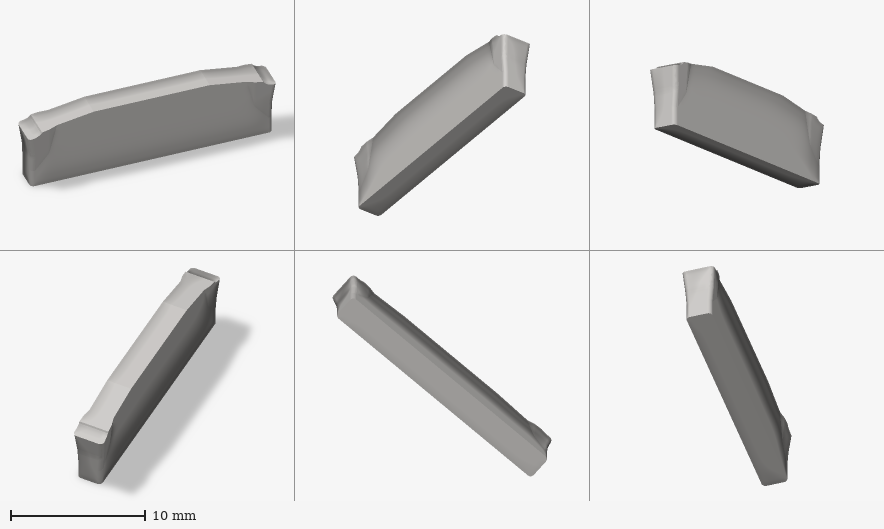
import cadquery as cq
import math

height = 5.68
half_length = 9.89
body_width = 2.0
corner_radius = 0.32

flat_half_length = 4.63
ridge_y, ridge_z = 8.82, 5.0
groove_top_y, groove_top_z = 8.9, 4.89
groove_middle_y, groove_middle_z = 9.12, 4.73
groove_bottom_y, groove_bottom_z = 9.42, 4.63
tip_z = 4.53

flank_bottom_z = 2.99
heel_top_z = 2.51
flank_angle = math.radians(7.5)
blend_height = flank_bottom_z - heel_top_z
flank_bottom_y = half_length - (tip_z - flank_bottom_z) * math.tan(flank_angle)
blend_radius = blend_height / math.sin(flank_angle)
heel_y = flank_bottom_y - blend_radius * (1 - math.cos(flank_angle))
half_blend_angle = flank_angle / 2
blend_middle_y = heel_y + blend_radius * (1 - math.cos(half_blend_angle))
blend_middle_z = heel_top_z + blend_radius * math.sin(half_blend_angle)

cheek_rise = 0.071
cheek_edge_y = 8.19
cheek_edge_z = 2.75
cheek_low_z = 1.38
cheek_low_y = heel_y - corner_radius
cheek_spread = cheek_rise * (cheek_edge_z - cheek_low_z) / (cheek_low_y - cheek_edge_y)
runout_y, runout_z = 7.55, 5.2
runout_spread = cheek_rise * (runout_z - cheek_edge_z) / (cheek_edge_y - runout_y)
cheek_edge_radius = 0.6
margin = 0.2
head_inner_y = 6.33
head_outer_y = half_length + margin


def half_profile(width):
    """One end of the blade, from the middle plane to +Y."""
    return (
        cq.Workplane("YZ")
        .moveTo(0, 0)
        .lineTo(heel_y, 0)
        .lineTo(heel_y, heel_top_z)
        .threePointArc((blend_middle_y, blend_middle_z), (flank_bottom_y, flank_bottom_z))
        .lineTo(half_length, tip_z)
        .lineTo(groove_bottom_y, groove_bottom_z)
        .threePointArc((groove_middle_y, groove_middle_z), (groove_top_y, groove_top_z))
        .lineTo(ridge_y, ridge_z)
        .lineTo(flat_half_length, height)
        .lineTo(0, height)
        .close()
        .extrude(width / 2, both=True)
    )


def cheek_outline(z):
    """Plan outline of both cheeks at one height."""
    edge_x = body_width / 2 + cheek_rise * (z - cheek_edge_z)
    inner_x = edge_x - runout_spread * (cheek_edge_y - head_inner_y)
    outer_x = edge_x + cheek_spread * (head_outer_y - cheek_edge_y)
    right_side = [(inner_x, head_inner_y), (edge_x, cheek_edge_y), (outer_x, head_outer_y)]
    left_side = [(-x, y) for x, y in reversed(right_side)]
    return right_side + left_side


def round_end_corners(solid):
    """Round the upright edges on both sides of the end face."""
    left_edges = cq.selectors.BoxSelector(
        (-body_width, cheek_low_y, 0),
        (-corner_radius, head_outer_y, tip_z),
    )
    right_edges = cq.selectors.BoxSelector(
        (corner_radius, cheek_low_y, 0),
        (body_width, head_outer_y, tip_z),
    )
    return solid.edges(left_edges + right_edges).fillet(corner_radius)


def make_head():
    """Flared head that carries the cutting edge."""
    flare = (
        cq.Workplane("XY")
        .polyline(cheek_outline(0))
        .close()
        .workplane(offset=height)
        .polyline(cheek_outline(height))
        .close()
        .loft(ruled=True, combine=True)
    )
    edge_finder = cq.selectors.BoxSelector(
        (-body_width, cheek_edge_y - margin, margin),
        (body_width, cheek_edge_y + margin, height - margin),
    )
    flare = flare.edges(edge_finder).fillet(cheek_edge_radius)
    return flare.intersect(half_profile(2 * body_width))


head = round_end_corners(make_head())
body = round_end_corners(half_profile(body_width))
blade_half = body.union(head)
result = blade_half.union(blade_half.mirror("XZ")).clean()